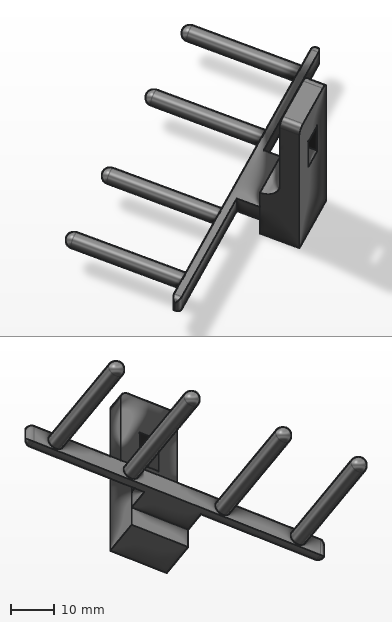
import cadquery as cq
import math

bracket_width = 15.0
bracket_height = 47.0
foot_depth = 10.0
stem_depth = foot_depth / 2
stem_front = foot_depth - stem_depth
cove_radius = 5.8
cove_top = 21.9
top_corner_radius = 2.0
window_width = 5.0
window_height = 2 * window_width
window_bottom = 26.0

bar_length = 79.45
bar_thickness = 2.0
bar_height = 5.0
bar_center_z = 8.0
bar_end_radius = 2.0
neck_length = 5.9
bar_front = -(neck_length + bar_thickness)
overall_depth = 47.8
pin_radius = 2.0
pin_tip = foot_depth - overall_depth
inner_pin_y = 12.15
outer_pin_y = 32.2

half_thickness = bar_thickness / 2
point_length = math.sqrt(bar_end_radius**2 - (bar_end_radius - half_thickness) ** 2)
square_length = bar_length + 2 * (bar_end_radius - point_length)


def make_bracket():
    cove_center_x = stem_front - cove_radius
    cove_bottom = cove_top - math.sqrt(cove_radius**2 - cove_center_x**2)
    middle_angle = math.asin((cove_bottom - cove_top) / cove_radius) / 2
    cove_middle = (
        cove_center_x + cove_radius * math.cos(middle_angle),
        cove_top + cove_radius * math.sin(middle_angle),
    )
    body = (
        cq.Workplane("XZ")
        .moveTo(0, 0)
        .lineTo(0, cove_bottom)
        .threePointArc(cove_middle, (stem_front, cove_top))
        .lineTo(stem_front, bracket_height)
        .lineTo(foot_depth, bracket_height)
        .lineTo(foot_depth, 0)
        .close()
        .extrude(bracket_width / 2, both=True)
    )
    body = body.faces(">Z").edges("|X").fillet(top_corner_radius)
    window = cq.Workplane("XY").box(
        foot_depth, window_width, window_height, centered=(False, True, False)
    ).translate((0, 0, window_bottom))
    return body.cut(window)


def make_bar():
    side = (
        cq.Workplane("XY")
        .box(bar_thickness, square_length, bar_height)
        .edges("|X")
        .fillet(bar_end_radius)
    )
    straight_y = bar_length / 2 - point_length
    tip_y = bar_length / 2
    arc_angle = math.asin(point_length / bar_end_radius) / 2
    arc_x = half_thickness - bar_end_radius * (1 - math.cos(arc_angle))
    arc_y = straight_y + bar_end_radius * math.sin(arc_angle)
    plan = (
        cq.Workplane("XY")
        .moveTo(half_thickness, -straight_y)
        .lineTo(half_thickness, straight_y)
        .threePointArc((arc_x, arc_y), (0, tip_y))
        .threePointArc((-arc_x, arc_y), (-half_thickness, straight_y))
        .lineTo(-half_thickness, -straight_y)
        .threePointArc((-arc_x, -arc_y), (0, -tip_y))
        .threePointArc((arc_x, -arc_y), (half_thickness, -straight_y))
        .close()
        .extrude(bar_height / 2, both=True)
    )
    return side.intersect(plan).translate((bar_front + half_thickness, 0, bar_center_z))


def make_pin(y):
    nose_start = pin_tip + pin_radius
    nose_middle = pin_radius * math.sqrt(0.5)
    outline = (
        cq.Workplane("XY")
        .moveTo(bar_front, 0)
        .lineTo(bar_front, pin_radius)
        .lineTo(nose_start, pin_radius)
        .threePointArc((nose_start - nose_middle, nose_middle), (pin_tip, 0))
        .close()
    )
    return outline.revolve(360, (0, 0, 0), (1, 0, 0)).translate((0, y, bar_center_z))


def make_rack():
    neck = cq.Workplane("XY").box(
        neck_length, bracket_width, bar_height
    ).translate((-neck_length / 2, 0, bar_center_z))
    body = make_bar().union(neck)
    for y in (-outer_pin_y, -inner_pin_y, inner_pin_y, outer_pin_y):
        body = body.union(make_pin(y))
    return body


bracket = make_bracket()
rack = make_rack()
result = cq.Compound.makeCompound([bracket.solids().val(), rack.solids().val()])